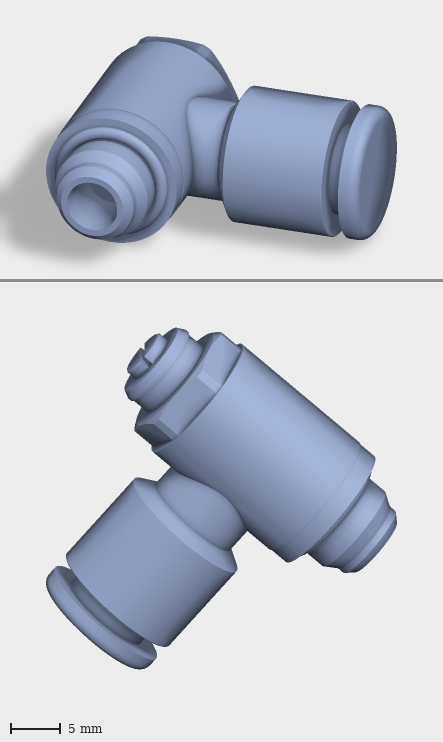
import cadquery as cq

OVERALL_LENGTH = 31.8

BODY_RADIUS = 7.0
BODY_TOP = 7.8
BODY_BOTTOM = -7.73
COLLAR_RADIUS = 6.9
COLLAR_BOTTOM = -9.83

SEAL_CENTER_RADIUS = 5.3
SEAL_TUBE_RADIUS = 0.65

RELIEF_RADIUS = 4.42
RELIEF_LENGTH = 0.6
THREAD_RADIUS = 4.85
THREAD_CHAMFER_END = -10.8
THREAD_END = -12.95
TIP_RADIUS = 4.05
TIP_START = -14.28
TIP_CHAMFER_START = -15.0
TIP_END_RADIUS = 3.28
STEM_END = -15.85
BORE_RADIUS = 2.65
BORE_DEPTH = 6.35

HEX_ACROSS_FLATS = 11.95
HEX_CORNER_RADIUS = 6.65
HEX_TURN = 30
HEX_TOP = 10.78
HEX_CHAMFER_HEIGHT = 0.4
HEX_CHAMFER_WIDTH = 0.73

CAP_NECK_RADIUS = 4.3
CAP_LIP_RADIUS = 4.48
CAP_LIP_BOTTOM = 12.78
CAP_LIP_TOP = 13.1
CAP_TOP_RADIUS = 4.07
CAP_TOP = 13.93

SCREW_RADIUS = 2.5
SCREW_CHAMFER = 0.2
SCREW_TOP = 15.07
SLOT_WIDTH = 0.57

BRANCH_NECK_RADIUS = 5.0
SHOULDER_START = 9.57
SHOULDER_END = 10.75
SOCKET_RADIUS = 6.9
SOCKET_END = 21.1
SOCKET_CHAMFER = 0.1
RELEASE_NECK_RADIUS = 4.6
RELEASE_FLANGE_RADIUS = 6.8
RELEASE_FLANGE_START = 22.85
RELEASE_ROUND = 1.02
BRANCH_END = OVERALL_LENGTH - BODY_RADIUS


def cylinder_along_y(radius, start, end):
    """Cylinder on the Y axis from y = start to y = end."""
    return cq.Workplane("XZ", origin=(0, start, 0)).circle(radius).extrude(start - end)


def revolve_about_y(profile):
    """Turn a closed (radius, y) profile about the Y axis."""
    return cq.Workplane("XY").polyline(profile).close().revolve(360, (0, 0, 0), (0, 1, 0))


def make_stem():
    """Turned outline from the threaded tip up to the cap."""
    return revolve_about_y([
        (0, STEM_END),
        (TIP_END_RADIUS, STEM_END),
        (TIP_RADIUS, TIP_CHAMFER_START),
        (TIP_RADIUS, TIP_START),
        (THREAD_RADIUS, THREAD_END),
        (THREAD_RADIUS, THREAD_CHAMFER_END),
        (RELIEF_RADIUS, COLLAR_BOTTOM - RELIEF_LENGTH),
        (RELIEF_RADIUS, COLLAR_BOTTOM),
        (COLLAR_RADIUS, COLLAR_BOTTOM),
        (COLLAR_RADIUS, BODY_BOTTOM),
        (BODY_RADIUS, BODY_BOTTOM),
        (BODY_RADIUS, BODY_TOP),
        (CAP_NECK_RADIUS, BODY_TOP),
        (CAP_NECK_RADIUS, CAP_LIP_BOTTOM),
        (CAP_LIP_RADIUS, CAP_LIP_BOTTOM),
        (CAP_LIP_RADIUS, CAP_LIP_TOP),
        (CAP_TOP_RADIUS, CAP_TOP),
        (0, CAP_TOP),
    ])


def make_seal():
    """Ring of round section centered on the collar face."""
    return (
        cq.Workplane("XY")
        .center(SEAL_CENTER_RADIUS, COLLAR_BOTTOM)
        .circle(SEAL_TUBE_RADIUS)
        .revolve(360, (-SEAL_CENTER_RADIUS, 0, 0), (-SEAL_CENTER_RADIUS, 1, 0))
    )


def make_hexagon():
    """Hexagon with flats facing +Z and -Z, trimmed by a chamfered cylinder."""
    prism = (
        cq.Workplane("XZ", origin=(0, BODY_TOP, 0))
        .polygon(6, HEX_ACROSS_FLATS, circumscribed=True)
        .extrude(BODY_TOP - HEX_TOP)
        .rotate((0, 0, 0), (0, 1, 0), HEX_TURN)
    )
    turned_blank = revolve_about_y([
        (0, BODY_TOP),
        (HEX_CORNER_RADIUS, BODY_TOP),
        (HEX_CORNER_RADIUS, HEX_TOP - HEX_CHAMFER_HEIGHT),
        (HEX_CORNER_RADIUS - HEX_CHAMFER_WIDTH, HEX_TOP),
        (0, HEX_TOP),
    ])
    return prism.intersect(turned_blank)


def make_screw():
    """Screw head with a chamfered rim and a slot along Z down to the cap."""
    height = SCREW_TOP - CAP_TOP
    head = cylinder_along_y(SCREW_RADIUS, CAP_TOP, SCREW_TOP)
    head = head.faces(">Y").chamfer(SCREW_CHAMFER)
    slot = cq.Workplane("XY").box(SLOT_WIDTH, height, 2 * SCREW_RADIUS)
    return head.cut(slot.translate((0, CAP_TOP + height / 2, 0)))


def make_branch():
    """Neck, socket and release ring turned about the X axis."""
    return (
        cq.Workplane("XY")
        .lineTo(0, BRANCH_NECK_RADIUS)
        .lineTo(SHOULDER_START, BRANCH_NECK_RADIUS)
        .lineTo(SHOULDER_END, SOCKET_RADIUS)
        .lineTo(SOCKET_END - SOCKET_CHAMFER, SOCKET_RADIUS)
        .lineTo(SOCKET_END, SOCKET_RADIUS - SOCKET_CHAMFER)
        .lineTo(SOCKET_END, RELEASE_NECK_RADIUS)
        .lineTo(RELEASE_FLANGE_START, RELEASE_NECK_RADIUS)
        .lineTo(RELEASE_FLANGE_START, RELEASE_FLANGE_RADIUS)
        .lineTo(BRANCH_END - RELEASE_ROUND, RELEASE_FLANGE_RADIUS)
        .tangentArcPoint((RELEASE_ROUND, -RELEASE_ROUND))
        .lineTo(BRANCH_END, 0)
        .close()
        .revolve(360, (0, 0, 0), (1, 0, 0))
    )


bore = cylinder_along_y(BORE_RADIUS, STEM_END, STEM_END + BORE_DEPTH)

result = (
    make_stem()
    .union(make_seal())
    .union(make_hexagon())
    .union(make_screw())
    .union(make_branch())
    .cut(bore)
)